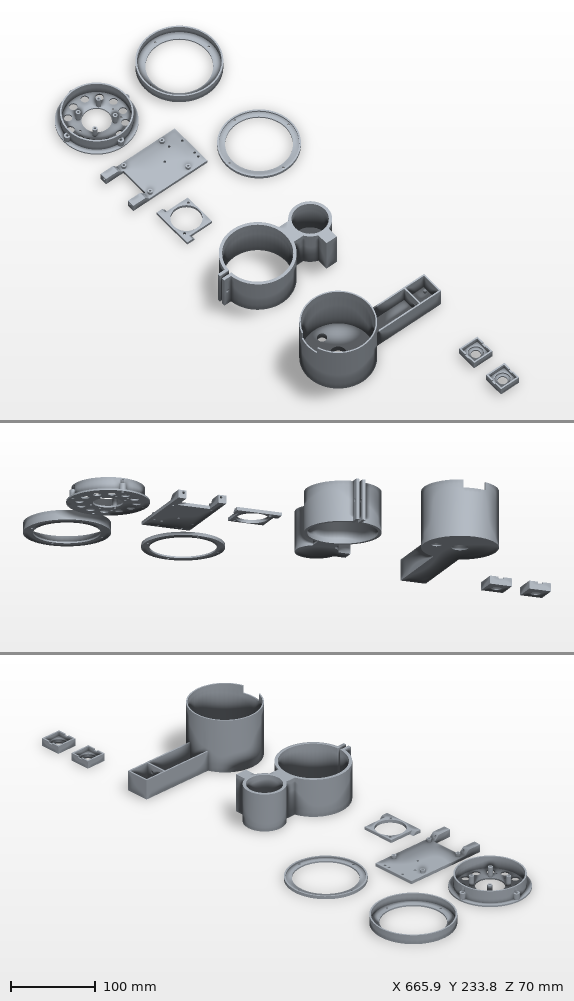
import cadquery as cq
SCREW_CIRCLE_R = 45.0
SCREW_COUNT = 4
RING_HOLE_D = 2.7
RING_BORE_D = 80.2
RING_ROW_Y = 126.0

BASE_AT = (0, 0)
TALL_RING_AT = (0, RING_ROW_Y)
LOW_RING_AT = (148.5, RING_ROW_Y)
BOARD_PLATE_AT = (99.5, 0)
FRAME_AT = (180.0, -10.5)
CLAMP_AT = (300.0, 0)
CUP_AT = (450.0, 0)
SOCKET_XS = [550.0, 600.0]


def cylinder(diameter, height, x=0, y=0, z=0):
    return cq.Workplane("XY").center(x, y).circle(diameter / 2).extrude(height).translate((0, 0, z))


def block(x0, x1, y0, y1, z0, z1):
    size = (x1 - x0, y1 - y0, z1 - z0)
    return cq.Workplane("XY").box(*size, centered=False).translate((x0, y0, z0))


def screw_circle():
    return cq.Workplane("XY").polarArray(SCREW_CIRCLE_R, 0, 360, SCREW_COUNT)


def place(body, at):
    return body.translate((at[0], at[1], 0))


RIM_WALL = 2.0
RING_FLOOR = 2.0
TALL_RING_OD = 104.0
TALL_RING_HEIGHT = 12.0
LOW_RING_OD = 99.0
LOW_RING_HEIGHT = 4.0


def make_ring(outer_d, height):
    ring = cylinder(outer_d, height)
    ring = ring.cut(cylinder(outer_d - 2 * RIM_WALL, height, z=RING_FLOOR))
    ring = ring.cut(cylinder(RING_BORE_D, RING_FLOOR))
    return ring.cut(screw_circle().circle(RING_HOLE_D / 2).extrude(RING_FLOOR))


BASE_OD = 99.0
BASE_FLOOR = 2.0
BASE_BORE_D = 36.0
BASE_WALL_OD = 87.0
BASE_WALL = 2.0
BASE_HEIGHT = 18.0
BOSS_D = 8.0
BOSS_HOLE_D = 3.4
BOSS_HEIGHT = 10.0
HEAD_RECESS_D = 5.5
HEAD_RECESS_TOP_Z = 16.0
VENT_D = 10.0
VENT_COUNT = 12
VENT_CIRCLE_R = 34.0
POST_OFFSET = 15.5
POST_D = 6.0
POST_HOLE_D = 2.8
POST_HEIGHT = 15.0
FLOOR_HOLE_D = 2.7
FLOOR_HOLES = [(0, 25), (0, -25), (15, 25), (15, -25)]


def make_base():
    base = cylinder(BASE_OD, BASE_FLOOR)
    base = base.union(cylinder(BASE_WALL_OD, BASE_HEIGHT))
    base = base.union(screw_circle().circle(BOSS_D / 2).extrude(BOSS_HEIGHT))
    base = base.cut(screw_circle().circle(BOSS_HOLE_D / 2).extrude(BOSS_HEIGHT))
    recesses = screw_circle().circle(HEAD_RECESS_D / 2).extrude(HEAD_RECESS_TOP_Z - BOSS_HEIGHT)
    base = base.cut(recesses.translate((0, 0, BOSS_HEIGHT)))
    base = base.cut(cylinder(BASE_WALL_OD - 2 * BASE_WALL, BASE_HEIGHT, z=BASE_FLOOR))
    posts = cq.Workplane("XY").rect(2 * POST_OFFSET, 2 * POST_OFFSET, forConstruction=True).vertices()
    base = base.union(posts.circle(POST_D / 2).extrude(POST_HEIGHT))
    base = base.cut(posts.circle(POST_HOLE_D / 2).extrude(POST_HEIGHT))
    base = base.cut(cylinder(BASE_BORE_D, BASE_FLOOR))
    vents = cq.Workplane("XY").polarArray(VENT_CIRCLE_R, 180 / VENT_COUNT, 360, VENT_COUNT)
    base = base.cut(vents.circle(VENT_D / 2).extrude(BASE_FLOOR))
    floor_holes = cq.Workplane("XY").pushPoints(FLOOR_HOLES).circle(FLOOR_HOLE_D / 2)
    return base.cut(floor_holes.extrude(BASE_FLOOR))


PLATE_W = 61.0
PLATE_T = 4.0
PLATE_BACK_Y = 62.5
PLATE_FRONT_Y = -24.0
LEG_W = 10.0
LEG_END_Y = -50.5
LEG_HEIGHT = 10.0
LEG_TOP_Y = -32.0
LEG_HOLE_D = 3.2
LEG_HOLE_X = 24.0
LEG_HOLE_Z = 7.0
BOARD_HOLE_D = 2.7
STANDOFF_D = 6.0
STANDOFF_TOP_Z = 8.0
BOARD_SIZE = (49.0, 58.0)
BOARD_CENTRE_Y = 9.0
PLATE_HOLE_D = 3.2
PLATE_HOLES = [(-14, 40.5), (0, 22.5), (-11, 58), (12, 58), (19, 58)]


def make_board_plate():
    half = PLATE_W / 2
    plate = block(-half, half, PLATE_FRONT_Y, PLATE_BACK_Y, 0, PLATE_T)
    ramp = LEG_HEIGHT - PLATE_T
    for side in (-1, 1):
        leg = (
            cq.Workplane("YZ")
            .moveTo(LEG_END_Y, 0)
            .lineTo(PLATE_FRONT_Y, 0)
            .lineTo(PLATE_FRONT_Y, PLATE_T)
            .lineTo(LEG_TOP_Y + ramp, PLATE_T)
            .lineTo(LEG_TOP_Y, LEG_HEIGHT)
            .lineTo(LEG_END_Y, LEG_HEIGHT)
            .close()
            .extrude(LEG_W / 2, both=True)
            .translate((side * (half - LEG_W / 2), 0, 0))
        )
        drill = cylinder(LEG_HOLE_D, PLATE_FRONT_Y - LEG_END_Y)
        drill = drill.rotate((0, 0, 0), (1, 0, 0), -90).translate((side * LEG_HOLE_X, LEG_END_Y, LEG_HOLE_Z))
        plate = plate.union(leg).cut(drill)
    corners = cq.Workplane("XY").center(0, BOARD_CENTRE_Y).rect(*BOARD_SIZE, forConstruction=True).vertices()
    plate = plate.union(corners.circle(STANDOFF_D / 2).extrude(STANDOFF_TOP_Z))
    plate = plate.cut(corners.circle(BOARD_HOLE_D / 2).extrude(STANDOFF_TOP_Z))
    return plate.cut(cq.Workplane("XY").pushPoints(PLATE_HOLES).circle(PLATE_HOLE_D / 2).extrude(PLATE_T))


FRAME_W = 45.0
FRAME_T = 4.0
FRAME_BACK_Y = 20.5
FRAME_FRONT_Y = -22.0
FRAME_BORE_D = 38.0
TAB_SPAN = 57.0
TAB_BACK_Y = -10.0
FRAME_HOLE_D = 3.5
FRAME_HOLE_OFFSET = 16.0


def make_frame():
    frame = block(-FRAME_W / 2, FRAME_W / 2, FRAME_FRONT_Y, FRAME_BACK_Y, 0, FRAME_T)
    tabs = (
        cq.Workplane("YZ")
        .moveTo(FRAME_FRONT_Y, 0)
        .lineTo(TAB_BACK_Y, 0)
        .lineTo(TAB_BACK_Y - FRAME_T, FRAME_T)
        .lineTo(FRAME_FRONT_Y, FRAME_T)
        .close()
        .extrude(TAB_SPAN / 2, both=True)
    )
    frame = frame.union(tabs).cut(cylinder(FRAME_BORE_D, FRAME_T))
    for side in (-1, 1):
        hole = cylinder(FRAME_HOLE_D, FRAME_T, side * FRAME_HOLE_OFFSET, -side * FRAME_HOLE_OFFSET)
        frame = frame.cut(hole)
    return frame


CLAMP_HEIGHT = 50.0
CLAMP_OD = 92.0
CLAMP_WALL = 4.0
CLAMP_GAP = 4.0
EAR_T = 4.0
EAR_END_Y = -55.83
EAR_HOLE_D = 4.83
EAR_HOLE_Y = -50.5
SMALL_CUP_Y = 80.0
SMALL_CUP_OD = 52.0
SMALL_CUP_ID = 44.0
SMALL_CUP_FLOOR = 4.0
BRIDGE_W = 28.0
STUB_W = 16.0
STUB_END_X = 40.0


def make_clamp():
    bore = cylinder(CLAMP_OD - 2 * CLAMP_WALL, CLAMP_HEIGHT)
    ear_x = CLAMP_GAP / 2 + EAR_T
    clamp = cylinder(CLAMP_OD, CLAMP_HEIGHT)
    clamp = clamp.union(block(-BRIDGE_W / 2, BRIDGE_W / 2, 0, SMALL_CUP_Y, 0, CLAMP_HEIGHT))
    clamp = clamp.union(block(-ear_x, ear_x, EAR_END_Y, 0, 0, CLAMP_HEIGHT))
    clamp = clamp.union(cylinder(SMALL_CUP_OD, CLAMP_HEIGHT, y=SMALL_CUP_Y))
    stub_y = SMALL_CUP_Y - STUB_W / 2
    clamp = clamp.union(block(0, STUB_END_X, stub_y, stub_y + STUB_W, 0, CLAMP_HEIGHT))
    clamp = clamp.cut(bore)
    clamp = clamp.cut(cylinder(SMALL_CUP_ID, CLAMP_HEIGHT, y=SMALL_CUP_Y, z=SMALL_CUP_FLOOR))
    clamp = clamp.cut(block(-CLAMP_GAP / 2, CLAMP_GAP / 2, EAR_END_Y, 0, 0, CLAMP_HEIGHT))
    drill = cq.Workplane("YZ").center(EAR_HOLE_Y, CLAMP_HEIGHT / 2).circle(EAR_HOLE_D / 2)
    return clamp.cut(drill.extrude(ear_x, both=True))


CUP_OD = 92.0
CUP_ID = 88.5
CUP_HEIGHT = 70.0
CUP_FLOOR = 8.0
CUP_BORE_D = 20.0
CUP_SIDE_HOLE_D = 12.0
CUP_SIDE_HOLE_X = -30.0
NOTCH_W = 28.0
NOTCH_DEPTH = 10.0
ARM_W = 32.0
ARM_WALL = 2.0
ARM_END_Y = 144.0
ARM_HEIGHT = 26.0
ARM_FLOOR = 4.0
POCKET_LENGTH = 28.0
POCKET_CENTRE_Y = ARM_END_Y - ARM_WALL - POCKET_LENGTH / 2
WIRE_HOLE_D = 5.0
WIRE_HOLE_X = 5.5
WIRE_HOLE_Z = 16.0
ARM_POST_D = 3.5
ARM_POST_HEIGHT = 4.0
ARM_POSTS = [(-7, 10), (10, 10), (-10, -10), (7, -10)]


def make_cup():
    cup = cylinder(CUP_OD, CUP_HEIGHT)
    cup = cup.union(block(-ARM_W / 2, ARM_W / 2, 0, ARM_END_Y, 0, ARM_HEIGHT))
    inner = ARM_W / 2 - ARM_WALL
    pocket_front = POCKET_CENTRE_Y - POCKET_LENGTH / 2
    pocket_back = POCKET_CENTRE_Y + POCKET_LENGTH / 2
    cup = cup.cut(block(-inner, inner, pocket_front, pocket_back, ARM_FLOOR, ARM_HEIGHT))
    trough = block(-inner, inner, 0, pocket_front - ARM_WALL, ARM_FLOOR, ARM_HEIGHT)
    cup = cup.cut(trough.cut(cylinder(CUP_OD, CUP_HEIGHT)))
    posts = cq.Workplane("XY").pushPoints(ARM_POSTS).circle(ARM_POST_D / 2)
    posts = posts.extrude(ARM_FLOOR + ARM_POST_HEIGHT)
    cup = cup.union(posts.translate((0, POCKET_CENTRE_Y, 0)))
    wire_hole = cq.Workplane("XZ").center(WIRE_HOLE_X, WIRE_HOLE_Z).circle(WIRE_HOLE_D / 2)
    cup = cup.cut(wire_hole.extrude(ARM_WALL).translate((0, pocket_front, 0)))
    cup = cup.cut(cylinder(CUP_ID, CUP_HEIGHT, z=CUP_FLOOR))
    cup = cup.cut(cylinder(CUP_BORE_D, CUP_FLOOR))
    cup = cup.cut(cylinder(CUP_SIDE_HOLE_D, CUP_FLOOR, x=CUP_SIDE_HOLE_X))
    notch = block(-NOTCH_W / 2, NOTCH_W / 2, -CUP_OD / 2, 0, CUP_HEIGHT - NOTCH_DEPTH, CUP_HEIGHT)
    return cup.cut(notch)


SOCKET_W = 27.8
SOCKET_HEIGHT = 10.0
SOCKET_WALL = 2.0
SOCKET_FLOOR = 2.0
SOCKET_SEAT_D = 19.0
SOCKET_BORE_D = 12.0
SOCKET_SLOT_W = 6.0
SOCKET_SLOT_DEPTH = 2.0


def make_socket():
    half = SOCKET_W / 2
    inner = half - SOCKET_WALL
    socket = block(-half, half, -half, half, 0, SOCKET_HEIGHT)
    socket = socket.cut(block(-inner, inner, -inner, inner, 2 * SOCKET_FLOOR, SOCKET_HEIGHT))
    socket = socket.cut(cylinder(SOCKET_SEAT_D, SOCKET_HEIGHT, z=SOCKET_FLOOR))
    socket = socket.cut(cylinder(SOCKET_BORE_D, SOCKET_HEIGHT))
    slot_z = SOCKET_HEIGHT - SOCKET_SLOT_DEPTH
    slot_x = SOCKET_SLOT_W / 2
    return socket.cut(block(-slot_x, slot_x, -half, half, slot_z, SOCKET_HEIGHT))


bodies = [
    place(make_ring(TALL_RING_OD, TALL_RING_HEIGHT), TALL_RING_AT),
    place(make_ring(LOW_RING_OD, LOW_RING_HEIGHT), LOW_RING_AT),
    place(make_base(), BASE_AT),
    place(make_board_plate(), BOARD_PLATE_AT),
    place(make_frame(), FRAME_AT),
    place(make_clamp(), CLAMP_AT),
    place(make_cup(), CUP_AT),
]
for socket_x in SOCKET_XS:
    bodies.append(place(make_socket(), (socket_x, POCKET_CENTRE_Y)))

result = cq.Compound.makeCompound([body.val() for body in bodies])